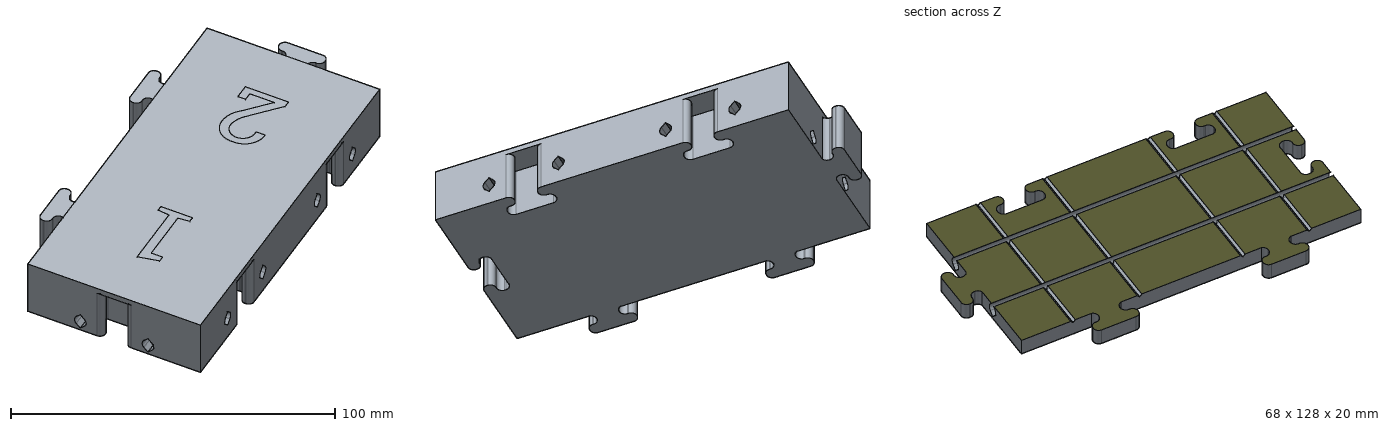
import cadquery as cq
import math

tile_size = 60.0
tile_count = 2
block_height = 20.0
block_length = tile_count * tile_size
side_x = tile_size / 2
front_y = -tile_size / 2
back_y = front_y + block_length
tile_centres_y = [index * tile_size for index in range(tile_count)]

joint_radius = 1.9
key_head_half_width = 8.0
key_head_thickness = 4.1
key_neck_half_width = 3.85
key_groove_flat = 0.15
side_key_length = 7.97
back_key_length = 7.95
key_height = 17.5

slot_depth = 8.2
slot_head_half_width = 8.2
slot_head_thickness = 4.2
slot_neck_half_width = 4.0
slot_groove_flat = slot_depth - slot_head_thickness - 2 * joint_radius
slot_height = 18.0

hole_radius = 2.0
hole_spread = 11.75
lengthwise_hole_z = 3.6
crosswise_hole_z = 7.75

inlay_depth = 1.0
digit_top = 11.9
digit_floor_z = block_height - inlay_depth


def joint_outline(length, head_half_width, head_thickness, neck_half_width, groove_flat):
    """T outline that starts on the X axis and grows toward +Y."""
    head_corner_x = head_half_width - joint_radius
    shoulder_y = length - head_thickness
    shoulder_x = neck_half_width + joint_radius
    waist_top_y = shoulder_y - joint_radius
    waist_bottom_y = waist_top_y - groove_flat
    wall_sine = min(waist_bottom_y / joint_radius, 1.0)
    base_x = shoulder_x - joint_radius * math.sqrt(1 - wall_sine**2)
    right_half = (
        cq.Workplane("XY")
        .lineTo(base_x, 0)
        .radiusArc((neck_half_width, waist_bottom_y), joint_radius)
        .lineTo(neck_half_width, waist_top_y)
        .radiusArc((shoulder_x, shoulder_y), joint_radius)
        .lineTo(head_corner_x, shoulder_y)
        .radiusArc((head_half_width, shoulder_y + joint_radius), -joint_radius)
        .lineTo(head_half_width, length - joint_radius)
        .radiusArc((head_corner_x, length), -joint_radius)
        .lineTo(0, length)
    )
    return right_half.mirrorY()


def place_joint(outline, height, x, y, turn):
    """Raise a joint outline and set it on a wall, turned about Z by `turn` degrees."""
    return outline.extrude(height).rotate((0, 0, 0), (0, 0, 1), turn).translate((x, y, 0))


def key(length, x, y, turn):
    outline = joint_outline(
        length, key_head_half_width, key_head_thickness, key_neck_half_width, key_groove_flat
    )
    return place_joint(outline, key_height, x, y, turn)


def slot(x, y, turn):
    outline = joint_outline(
        slot_depth, slot_head_half_width, slot_head_thickness, slot_neck_half_width, slot_groove_flat
    )
    return place_joint(outline, slot_height, x, y, turn)


def pointed_hole(plane, across, z, reach):
    """Hole along the plane normal: a circle drawn out to a 45 degree point above and below."""
    point = hole_radius * math.sqrt(2)
    tangent = hole_radius / math.sqrt(2)
    return (
        cq.Workplane(plane)
        .center(across, z)
        .moveTo(0, point)
        .lineTo(tangent, tangent)
        .threePointArc((hole_radius, 0), (tangent, -tangent))
        .lineTo(0, -point)
        .lineTo(-tangent, -tangent)
        .threePointArc((-hole_radius, 0), (-tangent, tangent))
        .close()
        .extrude(reach, both=True)
    )


def cut_hole_pair(body, plane, joint_centre, z):
    """Drill right through the body on both sides of a joint."""
    for side in (-1, 1):
        across = joint_centre + side * hole_spread
        body = body.cut(pointed_hole(plane, across, z, block_length))
    return body


def digit_one(tile_y):
    stem = 1.54
    serif = 5.5
    serif_edge_y = 10.1
    serif_root_y = 9.65
    flag_root_y = -8.1
    flag_edge_y = -10.05
    flag_tip_y = -11.6
    return (
        cq.Workplane("XY", origin=(0, tile_y, digit_floor_z))
        .moveTo(-serif, digit_top)
        .lineTo(serif, digit_top)
        .lineTo(serif, serif_edge_y)
        .lineTo(stem, serif_root_y)
        .lineTo(stem, flag_root_y)
        .lineTo(serif, flag_root_y)
        .lineTo(serif, flag_edge_y)
        .lineTo(-stem, flag_tip_y)
        .lineTo(-stem, serif_root_y)
        .lineTo(-serif, serif_edge_y)
        .close()
        .extrude(inlay_depth)
    )


def digit_two(tile_y):
    base_left = -7.3
    base_right = 7.7
    base_lower_y = 9.7
    tab_right = -4.6
    tab_y = 6.9
    hook_y = -4.64
    return (
        cq.Workplane("XY", origin=(0, tile_y, digit_floor_z))
        .moveTo(base_left, digit_top)
        .lineTo(base_right, digit_top)
        .lineTo(base_right, base_lower_y)
        .lineTo(-0.7, 0.4)
        .threePointArc((-2.42, -1.9), (-3.46, -5.2))
        .threePointArc((0.7, -9.64), (5.0, hook_y))
        .lineTo(8.2, hook_y)
        .threePointArc((6.1, -9.9), (0.6, -digit_top))
        .threePointArc((-4.6, -10.0), (-6.6, -5.4))
        .threePointArc((-5.7, -1.3), (-3.2, 1.85))
        .lineTo(3.9, base_lower_y)
        .lineTo(tab_right, base_lower_y)
        .lineTo(tab_right, tab_y)
        .lineTo(base_left, tab_y)
        .close()
        .extrude(inlay_depth)
    )


one = digit_one(tile_centres_y[0])
two = digit_two(tile_centres_y[1])

block = cq.Workplane("XY", origin=(0, front_y + block_length / 2, 0)).box(
    tile_size, block_length, block_height, centered=(True, True, False)
)
block = block.union(key(back_key_length, 0, back_y, 0))
block = block.cut(slot(0, front_y, 0))
block = cut_hole_pair(block, "XZ", 0, lengthwise_hole_z)
for centre_y in tile_centres_y:
    block = block.union(key(side_key_length, -side_x, centre_y, 90))
    block = block.cut(slot(side_x, centre_y, 90))
    block = cut_hole_pair(block, "YZ", centre_y, crosswise_hole_z)

block = block.cut(one).cut(two)

result = cq.Compound.makeCompound([block.val(), one.val(), two.val()])